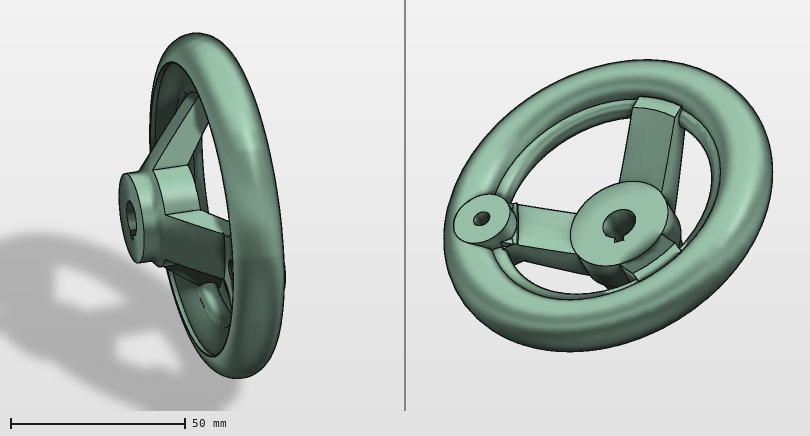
import cadquery as cq
import math

outer_radius = 50.0
rim_depth = 15.0
rim_round = rim_depth / 2
rim_center_radius = outer_radius - rim_round
recess_mouth_radius = 42.8
recess_radius = 42.5
recess_depth = 1.4
dish_inner_radius = 35.0
rim_inner_radius = 32.0
lip_round = dish_inner_radius - rim_inner_radius
dish_depth = rim_round - lip_round

hub_radius = 15.0
hub_back_y = -1.2
hub_shoulder_y = -11.7
neck_radius = 13.0
neck_front_y = -18.0
neck_fillet = 2.3
bore_radius = 5.0
key_width = 2.7
key_depth = 6.5

spoke_count = 3
spoke_width = 15.0
spoke_front_outer_radius = 29.3
cone_slope = (recess_depth - hub_shoulder_y) / (spoke_front_outer_radius - hub_radius)
spoke_back_slope = 0.75
spoke_end_radius = 36.0
spoke_back_y = 11.5

handle_radius = 36.0
handle_boss_radius = 8.7
pad_back_y = 9.5
handle_hole_diameter = 4.9
handle_countersink_diameter = 6.0
pad_flare_radius = 10.0
pad_flare_center_x = 27.3


def revolve(profile):
    """Turn a closed (radius, y) profile around the Y axis."""
    return profile.close().revolve(360, (0, 0, 0), (0, 1, 0))


def prism(sketch, start_y, end_y):
    """Extrude a sketch drawn on the XZ plane between two y positions."""
    return sketch.extrude(start_y - end_y).translate((0, start_y, 0))


def make_rim():
    lip_back_y = rim_round + lip_round
    round_back_radius = rim_center_radius - math.sqrt(rim_round**2 - lip_round**2)
    diagonal = rim_round * math.sqrt(0.5)
    back_mid = (rim_center_radius - diagonal, rim_round + diagonal)
    return revolve(
        cq.Workplane("XY")
        .moveTo(recess_mouth_radius, 0)
        .lineTo(recess_radius, recess_depth)
        .lineTo(dish_inner_radius, dish_depth)
        .threePointArc((rim_inner_radius, rim_round), (dish_inner_radius, lip_back_y))
        .lineTo(round_back_radius, lip_back_y)
        .threePointArc(back_mid, (rim_center_radius, rim_depth))
        .threePointArc((outer_radius, rim_round), (rim_center_radius, 0))
    )


def make_hub():
    cone_angle = math.atan(1 / cone_slope)
    tangent_length = neck_fillet * math.tan(cone_angle / 2)
    corner_y = hub_shoulder_y - (hub_radius - neck_radius) * cone_slope
    fillet_end_y = corner_y - tangent_length
    fillet_center_radius = neck_radius + neck_fillet
    fillet_start = (
        fillet_center_radius - neck_fillet * math.cos(cone_angle),
        fillet_end_y + neck_fillet * math.sin(cone_angle),
    )
    fillet_mid = (
        fillet_center_radius - neck_fillet * math.cos(cone_angle / 2),
        fillet_end_y + neck_fillet * math.sin(cone_angle / 2),
    )
    return revolve(
        cq.Workplane("XY")
        .moveTo(0, hub_back_y)
        .lineTo(hub_radius, hub_back_y)
        .lineTo(hub_radius, hub_shoulder_y)
        .lineTo(*fillet_start)
        .threePointArc(fillet_mid, (neck_radius, fillet_end_y))
        .lineTo(neck_radius, neck_front_y)
        .lineTo(0, neck_front_y)
    )


def make_spokes():
    overlap = 1.0
    inner_radius = hub_radius - overlap
    end_front_y = hub_shoulder_y + (spoke_end_radius - hub_radius) * cone_slope
    back_bend_radius = hub_radius + (spoke_back_y - hub_back_y) / spoke_back_slope
    web = revolve(
        cq.Workplane("XY")
        .moveTo(inner_radius, hub_shoulder_y)
        .lineTo(hub_radius, hub_shoulder_y)
        .lineTo(spoke_end_radius, end_front_y)
        .lineTo(spoke_end_radius, spoke_back_y)
        .lineTo(back_bend_radius, spoke_back_y)
        .lineTo(hub_radius, hub_back_y)
        .lineTo(inner_radius, hub_back_y)
    )
    bar_outline = cq.Workplane("XZ").center(spoke_end_radius / 2, 0).rect(spoke_end_radius, spoke_width)
    bar = prism(bar_outline, hub_shoulder_y, spoke_back_y)
    spoke = web.intersect(bar)
    spokes = spoke
    for index in range(1, spoke_count):
        spokes = spokes.union(spoke.rotate((0, 0, 0), (0, 1, 0), index * 360 / spoke_count))
    return spokes


def make_handle_pad():
    half_width = spoke_width / 2
    flare_center_z = half_width + pad_flare_radius
    flare_angle = math.radians(-30)
    flare_mid_x = pad_flare_center_x + pad_flare_radius * math.cos(flare_angle)
    flare_mid_z = flare_center_z + pad_flare_radius * math.sin(flare_angle)
    end_x = pad_flare_center_x + pad_flare_radius
    end_z = math.sqrt(recess_radius**2 - end_x**2)
    outline = (
        cq.Workplane("XZ")
        .moveTo(pad_flare_center_x, -half_width)
        .threePointArc((flare_mid_x, -flare_mid_z), (end_x, -flare_center_z))
        .lineTo(end_x, -end_z)
        .threePointArc((recess_radius, 0), (end_x, end_z))
        .lineTo(end_x, flare_center_z)
        .threePointArc((flare_mid_x, flare_mid_z), (pad_flare_center_x, half_width))
        .close()
    )
    pad = prism(outline, recess_depth, pad_back_y)
    boss_outline = cq.Workplane("XZ").center(handle_radius, 0).circle(handle_boss_radius)
    return pad.union(prism(boss_outline, recess_depth, rim_depth))


def make_hub_bore():
    bore = prism(cq.Workplane("XZ").circle(bore_radius), neck_front_y, hub_back_y)
    key_outline = cq.Workplane("XZ").center(0, -key_depth / 2).rect(key_width, key_depth)
    return bore.union(prism(key_outline, neck_front_y, hub_back_y))


def make_handle_hole():
    hole_radius = handle_hole_diameter / 2
    mouth_radius = handle_countersink_diameter / 2
    hole = revolve(
        cq.Workplane("XY")
        .moveTo(0, recess_depth)
        .lineTo(mouth_radius, recess_depth)
        .lineTo(hole_radius, recess_depth + mouth_radius - hole_radius)
        .lineTo(hole_radius, rim_depth)
        .lineTo(0, rim_depth)
    )
    return hole.translate((handle_radius, 0, 0))


wheel = make_rim().union(make_hub()).union(make_spokes()).union(make_handle_pad())
result = wheel.cut(make_hub_bore()).cut(make_handle_hole())